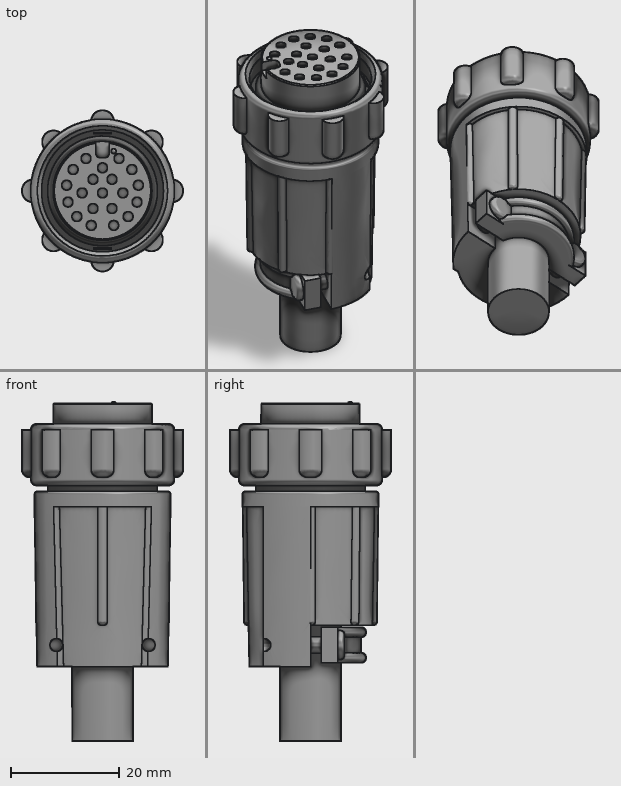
import cadquery as cq
import math

cable_radius = 5.65

shell_bottom = 13.7
shell_top = 43.3
shell_radius_bottom = 11.35
shell_radius_top = 11.85
wing_radius_bottom = 12.1
wing_radius_top = 12.6
wing_reach = 8.8
cutaway_top = 21.35
rib_radius = 0.9
rib_center_bottom = 11.4
rib_center_top = 11.65
rib_end_round = 0.7
rib_angles = (0, 45, 90, 135, 180, 270)

collar_top = 46.1
collar_round = 0.55
collar_radius = wing_radius_top
neck_radius = 10.15

ring_bottom = 47.2
ring_top = 58.6
ring_radius = 13.3
ring_round = 1.1
mouth_radius = 12.0
bore_radius = 11.3
mouth_taper_bottom = 57.65
bore_floor = 54.65
floor_slot_length = 3.25
floor_slot_width = 0.25
floor_slot_depth = 0.3
floor_slot_offset = 10.65
sleeve_top = 56.45
sleeve_round = 0.9

grip_count = 8
grip_radius = 2.1
grip_reach = 14.9
grip_bottom = 48.7
grip_top = 57.45
grip_round = 1.5

plug_top = 62.4
plug_radius = 9.15
plug_chamfer = 0.25
contact_radius = 0.91
contact_depth = 0.95
contact_circle_radius = 6.7
contact_pitch_angle = 27.0
outer_contacts_per_side = 6
middle_contacts = [(0, 4.25), (0, -0.4)]
paired_contacts = [(1.75, 2.1), (3.75, -0.4), (1.75, -3.25)]
key_width = 2.6
key_inner_edge = 6.1
key_depth = 1.9
key_corner_round = 1.0
dot_radius = 0.53
dot_position = (2.05, 7.3)
overall_height = 62.65

clamp_height = 17.75
clamp_width = 6.6
bar_half_length = 11.9
bar_near = 1.95
bar_far = 5.1
screw_offset = 8.5
screw_shank_radius = 1.5
screw_tip = -1.5
screw_head_radius = 2.7
screw_head_height = 1.2
screw_head_round = 0.75
saddle_radius = 9.35
saddle_rim_radius = 0.95
nut_hole_radius = 1.2
nut_hole_floor = -6.25


def cylinder(radius, bottom, top):
    return cq.Workplane("XY").workplane(offset=bottom).circle(radius).extrude(top - bottom)


def cone(radius_bottom, radius_top, bottom, top):
    height = top - bottom
    return cq.Workplane(cq.Solid.makeCone(radius_bottom, radius_top, height, cq.Vector(0, 0, bottom)))


def cylinder_along_y(radius, x, z, start, end):
    return (
        cq.Workplane("XZ", origin=(x, start, z))
        .circle(radius)
        .extrude(start - end)
    )


def box(x_range, y_range, z_range):
    size = [high - low for low, high in (x_range, y_range, z_range)]
    corner = (x_range[0], y_range[0], z_range[0])
    return cq.Workplane("XY", origin=corner).box(*size, centered=False)


def make_rib():
    return (
        cq.Workplane("XY", origin=(rib_center_bottom, 0, cutaway_top))
        .circle(rib_radius)
        .workplane(offset=shell_top - cutaway_top)
        .center(rib_center_top - rib_center_bottom, 0)
        .circle(rib_radius)
        .loft()
        .faces("<Z")
        .edges()
        .fillet(rib_end_round)
    )


def make_backshell():
    core = cone(shell_radius_bottom, shell_radius_top, shell_bottom, shell_top)
    span = (-wing_radius_top, wing_radius_top)
    wing_zone = box(span, (-wing_reach, 0), (shell_bottom, shell_top))
    wings = cone(wing_radius_bottom, wing_radius_top, shell_bottom, shell_top).intersect(wing_zone)
    cutaway = box(span, (0, wing_radius_top), (shell_bottom, cutaway_top))
    shell = core.union(wings).cut(cutaway)
    rib = make_rib()
    for angle in rib_angles:
        shell = shell.union(rib.rotate((0, 0, 0), (0, 0, 1), angle))
    for side in (-1, 1):
        x = side * screw_offset
        shell = shell.cut(
            cylinder_along_y(nut_hole_radius, x, clamp_height, -wing_radius_top, nut_hole_floor)
        )
    return shell


def make_collar():
    return cylinder(collar_radius, shell_top, collar_top).faces(">Z").edges().fillet(collar_round)


def make_grips():
    grip = (
        cylinder(grip_radius, grip_bottom, grip_top)
        .faces("<Z")
        .edges()
        .fillet(grip_round)
        .translate((grip_reach - grip_radius, 0, 0))
    )
    grips = grip
    for index in range(1, grip_count):
        grips = grips.union(grip.rotate((0, 0, 0), (0, 0, 1), index * 360 / grip_count))
    return grips


def make_coupling_ring():
    ring = cylinder(ring_radius, ring_bottom, ring_top).edges().fillet(ring_round)
    ring = ring.union(make_grips())
    ring = ring.cut(cylinder(bore_radius, bore_floor, ring_top))
    ring = ring.cut(cone(bore_radius, mouth_radius, mouth_taper_bottom, ring_top))
    floor_slots = (
        cq.Workplane("XY", origin=(0, 0, bore_floor))
        .pushPoints([(0, -floor_slot_offset), (0, floor_slot_offset)])
        .rect(floor_slot_length, floor_slot_width)
        .extrude(-floor_slot_depth)
    )
    sleeve = cylinder(neck_radius, bore_floor, sleeve_top).faces(">Z").edges().fillet(sleeve_round)
    return ring.cut(floor_slots).union(sleeve)


def contact_points():
    points = list(middle_contacts)
    for side in (-1, 1):
        points += [(side * x, y) for x, y in paired_contacts]
        for index in range(1, outer_contacts_per_side + 1):
            angle = math.radians(index * contact_pitch_angle)
            x = side * contact_circle_radius * math.sin(angle)
            y = contact_circle_radius * math.cos(angle)
            points.append((x, y))
    return points


def make_plug():
    plug = cylinder(plug_radius, bore_floor, plug_top).faces(">Z").edges().chamfer(plug_chamfer)
    contacts = (
        cq.Workplane("XY", origin=(0, 0, plug_top))
        .pushPoints(contact_points())
        .circle(contact_radius)
        .extrude(-contact_depth)
    )
    keyway = (
        box(
            (-key_width / 2, key_width / 2),
            (key_inner_edge, plug_radius),
            (plug_top - key_depth, plug_top),
        )
        .edges("|Z and <Y")
        .fillet(key_corner_round)
    )
    dot = cq.Workplane("XY").sphere(dot_radius).translate((*dot_position, overall_height - dot_radius))
    return plug.cut(contacts).cut(keyway).union(dot)


def make_saddle():
    low = clamp_height - clamp_width / 2
    high = clamp_height + clamp_width / 2
    saddle = cylinder(saddle_radius, low, high)
    for height in (low + saddle_rim_radius, high - saddle_rim_radius):
        rim = cq.Solid.makeTorus(saddle_radius, saddle_rim_radius, cq.Vector(0, 0, height))
        saddle = saddle.union(cq.Workplane(rim))
    saddle_reach = saddle_radius + saddle_rim_radius
    keep = box((-bar_half_length, bar_half_length), (bar_near, saddle_reach), (low, high))
    return saddle.intersect(keep)


def make_clamp():
    half_width = clamp_width / 2
    clamp = box(
        (-bar_half_length, bar_half_length),
        (bar_near, bar_far),
        (clamp_height - half_width, clamp_height + half_width),
    ).union(make_saddle())
    head_end = bar_far + screw_head_height
    for side in (-1, 1):
        x = side * screw_offset
        shank = cylinder_along_y(screw_shank_radius, x, clamp_height, screw_tip, bar_far)
        head = (
            cylinder_along_y(screw_head_radius, x, clamp_height, bar_far, head_end)
            .faces(">Y")
            .edges()
            .fillet(screw_head_round)
        )
        clamp = clamp.union(shank).union(head)
    return clamp


result = (
    cylinder(cable_radius, 0, shell_top)
    .union(make_backshell())
    .union(make_collar())
    .union(cylinder(neck_radius, shell_top, bore_floor))
    .union(make_coupling_ring())
    .union(make_plug())
    .union(make_clamp())
)